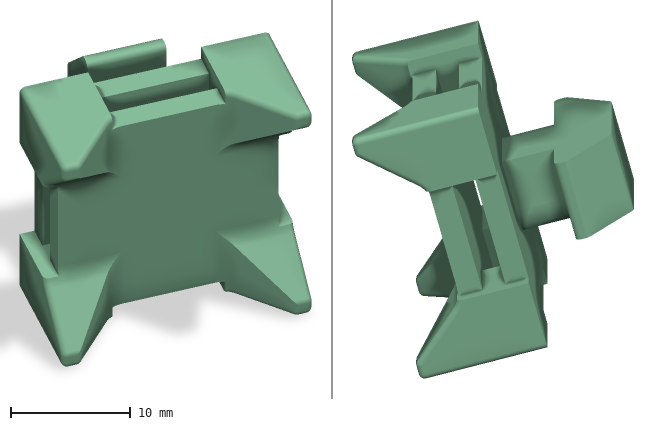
import cadquery as cq

block_width = 22.1
half_width = block_width / 2
plate_thickness = 6.01
leg_reach = 11.0
tip_width = 1.5
slope_start = 5.04
slope_root_radius = 2.0
edge_radius = 0.5

notch_width = 10.0
notch_depth = 1.3
slot_width = plate_thickness / 3
slot_start = slot_width

lock_width = 7.0
stem_length = 4.5
stem_height = 8.0
stem_radius = 2.5
head_thickness = 5.0
head_half_height = 7.91
head_face_half_height = stem_height / 2
head_slope = head_half_height - head_face_half_height


def make_leg_profile():
    """Solid of full block width with the tapered leg outline in the XZ plane."""
    tip_inner = half_width - tip_width
    blank = (
        cq.Workplane("XZ")
        .polyline([
            (0, -half_width),
            (leg_reach, -half_width),
            (leg_reach, -tip_inner),
            (plate_thickness, -slope_start),
            (plate_thickness, slope_start),
            (leg_reach, tip_inner),
            (leg_reach, half_width),
            (0, half_width),
        ])
        .close()
        .extrude(half_width, both=True)
    )
    slope_roots = cq.selectors.BoxSelector(
        (plate_thickness / 2, -slope_start, -half_width + tip_width * 2),
        (leg_reach, slope_start, half_width - tip_width * 2),
    )
    return blank.edges("|Y").edges(slope_roots).fillet(slope_root_radius)


def make_block():
    """Plate with four legs tapered in both directions and rounded along their free edges."""
    profile = make_leg_profile()
    turned_profile = profile.rotate((0, 0, 0), (1, 0, 0), 90)
    block = profile.intersect(turned_profile)
    outer_edges = block.faces(">Y or <Y or >Z or <Z").edges("(not <X) and (not >X)")
    tip_edges = block.faces(">X").edges()
    return outer_edges.add(tip_edges).fillet(edge_radius)


def cut_side_openings(block):
    """Notch each side and pass a slot through the plate in both directions."""
    slot = cq.Workplane("XY").box(
        slot_width, notch_width, block_width, centered=(False, True, True)
    ).translate((slot_start, 0, 0))
    notch = cq.Workplane("XY").box(
        leg_reach, notch_width, notch_depth, centered=(False, True, False)
    ).translate((0, 0, half_width - notch_depth))
    for side in range(4):
        turn = 90 * side
        block = block.cut(notch.rotate((0, 0, 0), (1, 0, 0), turn))
        block = block.cut(slot.rotate((0, 0, 0), (1, 0, 0), turn))
    return block


def make_lock():
    """Wedge-shaped head on a stem that has two diagonally opposite corners rounded."""
    stem_end = -stem_length
    head_end = stem_end - head_thickness
    head = (
        cq.Workplane("XZ")
        .polyline([
            (stem_end, -head_half_height),
            (stem_end, head_half_height),
            (head_end + head_slope, head_half_height),
            (head_end, head_face_half_height),
            (head_end, -head_face_half_height),
            (head_end + head_slope, -head_half_height),
        ])
        .close()
        .extrude(lock_width / 2, both=True)
        .edges("|Y")
        .fillet(edge_radius)
    )
    stem = (
        cq.Workplane("YZ")
        .workplane(offset=stem_end)
        .rect(lock_width, stem_height)
        .extrude(stem_length)
    )
    for corner in ("<Y and <Z", ">Y and >Z"):
        stem = stem.edges("|X").edges(corner).fillet(stem_radius)
    return head.union(stem)


result = cut_side_openings(make_block()).union(make_lock())